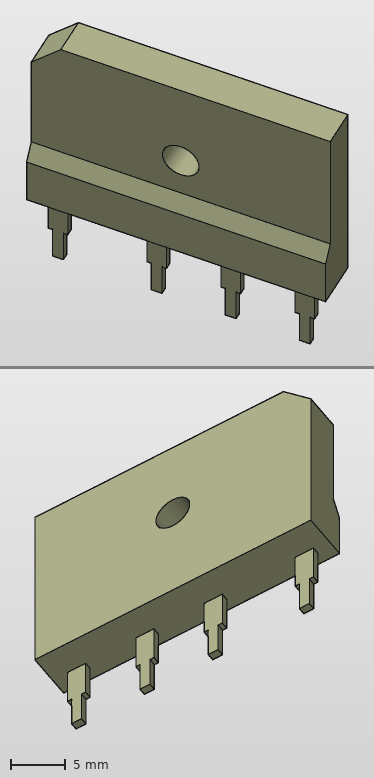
import cadquery as cq
import math

housing_width = 30.3
housing_depth = 4.8
housing_height = 20.3
upper_depth = 3.8
back_y = housing_depth / 2
front_y = -housing_depth / 2
upper_front_y = back_y - upper_depth

foot_height = 5.0
slope_angle = 60.0
slope_height = (housing_depth - upper_depth) * math.tan(math.radians(slope_angle))

corner_chamfer = 3.0
hole_diameter = 3.7
hole_height = 11.0

total_height = 27.9
lead_length = total_height - housing_height
shoulder_length = 4.1
shoulder_width = 2.0
tip_width = 1.1
lead_thickness = 0.75
lead_setback = 3.3
lead_center_y = back_y - lead_setback
lead_positions = (-12.5, -2.5, 5.0, 12.5)


def make_housing():
    """Stepped side profile extruded along X, with a chamfered corner and a mounting hole."""
    body = (
        cq.Workplane("YZ")
        .moveTo(back_y, 0)
        .lineTo(back_y, housing_height)
        .lineTo(upper_front_y, housing_height)
        .lineTo(upper_front_y, foot_height + slope_height)
        .lineTo(front_y, foot_height)
        .lineTo(front_y, 0)
        .close()
        .extrude(housing_width / 2, both=True)
    )
    body = body.edges("|Y").edges(">Z").edges("<X").chamfer(corner_chamfer)
    hole = (
        cq.Workplane("XZ")
        .center(0, hole_height)
        .circle(hole_diameter / 2)
        .extrude(housing_depth, both=True)
    )
    return body.cut(hole)


def make_lead(center_x):
    """One lead hanging from the underside of the housing."""
    shoulder = cq.Workplane("XY").rect(shoulder_width, lead_thickness).extrude(-shoulder_length)
    tip = cq.Workplane("XY").rect(tip_width, lead_thickness).extrude(-lead_length)
    return shoulder.union(tip).translate((center_x, lead_center_y, 0))


housing = make_housing()
leads = [make_lead(center_x) for center_x in lead_positions]

result = cq.Compound.makeCompound([housing.val(), *[lead.val() for lead in leads]])